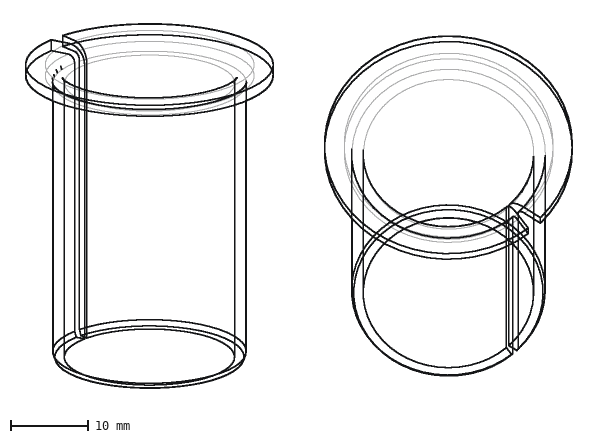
import cadquery as cq
import math

length = 40.0
bore_radius = 11.0
body_diameter = 25.0
flange_radius = 16.0
neck_radius = 1.0

chamfer_height = 0.75
chamfer_angle = 20.0

slit_bore_width = 0.45
slit_half_angle = 10.0

body_radius = body_diameter / 2
wall = body_radius - bore_radius
mouth_radius = neck_radius + wall
chamfer_width = chamfer_height * math.tan(math.radians(chamfer_angle))


def make_bushing():
    """Revolve the wall section, whose inner and outer bends share one centre."""
    bend_r = bore_radius + mouth_radius
    bend_z = length - mouth_radius
    diagonal = math.sqrt(0.5)
    return (
        cq.Workplane("XZ")
        .moveTo(bore_radius, 0)
        .lineTo(body_radius - chamfer_width, 0)
        .lineTo(body_radius, chamfer_height)
        .lineTo(body_radius, bend_z)
        .threePointArc(
            (bend_r - neck_radius * diagonal, bend_z + neck_radius * diagonal),
            (bend_r, length - wall),
        )
        .lineTo(flange_radius, length - wall)
        .lineTo(flange_radius, length)
        .lineTo(bend_r, length)
        .threePointArc(
            (bend_r - mouth_radius * diagonal, bend_z + mouth_radius * diagonal),
            (bore_radius, bend_z),
        )
        .close()
        .revolve(360, (0, 0, 0), (0, 1, 0))
        .rotate((0, 0, 0), (0, 0, 1), 180)
    )


def make_slit():
    """Full-length wedge that opens outwards from the bore."""
    slope = math.tan(math.radians(slit_half_angle))
    tip = bore_radius - slit_bore_width / 2 / slope
    outer = flange_radius + wall
    half_width = (outer - tip) * slope
    return (
        cq.Workplane("XY")
        .polyline([(-tip, 0), (-outer, half_width), (-outer, -half_width)])
        .close()
        .extrude(length)
    )


result = make_bushing().cut(make_slit())